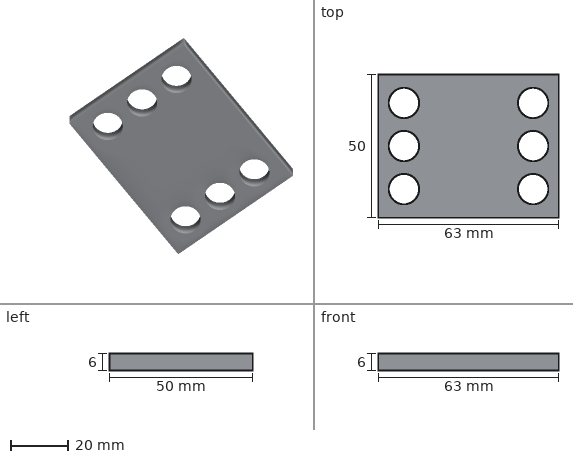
import cadquery as cq

plate_length = 63.0
plate_width = 50.0
plate_thickness = 6.0

hole_diameter = 10.5
column_count = 2
row_count = 3
column_spacing = 45.0
row_spacing = 15.0


def make_plate():
    """Flat rectangular plate centred on the origin."""
    return cq.Workplane("XY").box(plate_length, plate_width, plate_thickness)


def drill_holes(plate):
    """Drill the grid of through holes from the top face."""
    return (
        plate.faces(">Z")
        .workplane()
        .rarray(column_spacing, row_spacing, column_count, row_count)
        .hole(hole_diameter)
    )


result = drill_holes(make_plate())